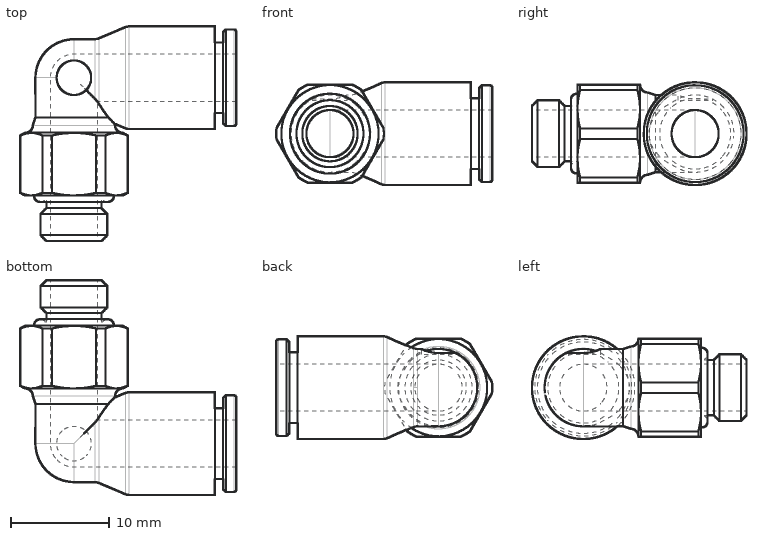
import cadquery as cq
import math


elbow_radius = 3.95
bore_radius = 2.4
recess_radius = 1.76
recess_floor_height = 3.37

flare_start = 2.15
flare_end = 5.62
flare_blend_radius = 1.0
flare_blend_length = 0.4
sleeve_radius = 5.25
sleeve_end = 14.38
collar_radius = 3.62
ring_start = 15.21
ring_end = 16.55
ring_radius = 4.95
ring_edge = 0.26

skirt_start = 4.05
skirt_blend_radius = 0.75
hex_start = 5.6
hex_end = 12.02
hex_across_flats = 10.0
hex_corner_radius = 5.5
hex_face_radius = 4.96
hex_chamfer_length = 0.29
neck_radius = 2.82
seal_radius = 4.08
seal_end = 12.68
neck_end = 13.3
thread_radius = 3.42
thread_chamfer = thread_radius - neck_radius
arm_end = 16.65


def make_push_in_arm():
    """Turned arm along +X: flared sleeve, collar and release ring."""
    low_corner = (flare_start + flare_blend_length / 2, elbow_radius)
    high_corner = (flare_end - flare_blend_length / 2, sleeve_radius)
    sleeve = (
        cq.Workplane("XY")
        .lineTo(0, elbow_radius)
        .lineTo(*low_corner)
        .lineTo(*high_corner)
        .lineTo(sleeve_end, sleeve_radius)
        .lineTo(sleeve_end, 0)
        .close()
        .revolve(360, (0, 0, 0), (1, 0, 0))
    )
    sleeve = sleeve.faces("%CONE").edges("%CIRCLE").fillet(flare_blend_radius)
    collar = (
        cq.Workplane("YZ")
        .workplane(offset=sleeve_end)
        .circle(collar_radius)
        .extrude(ring_start - sleeve_end)
    )
    ring = (
        cq.Workplane("YZ")
        .workplane(offset=ring_start)
        .circle(ring_radius)
        .extrude(ring_end - ring_start)
        .faces("<X").edges().chamfer(ring_edge)
        .faces(">X").edges().fillet(ring_edge)
    )
    return sleeve.union(collar).union(ring)


def make_shank():
    """Round parts of the threaded arm: body, flared skirt, neck and thread."""
    return (
        cq.Workplane("XY")
        .lineTo(elbow_radius, 0)
        .lineTo(elbow_radius, -skirt_start)
        .lineTo(hex_face_radius - skirt_blend_radius, -hex_start + skirt_blend_radius)
        .radiusArc((hex_face_radius, -hex_start), -skirt_blend_radius)
        .lineTo(neck_radius, -hex_start)
        .lineTo(neck_radius, -neck_end)
        .lineTo(thread_radius, -neck_end - thread_chamfer)
        .lineTo(thread_radius, -arm_end + thread_chamfer)
        .lineTo(neck_radius, -arm_end)
        .lineTo(0, -arm_end)
        .close()
        .revolve(360, (0, 0, 0), (0, 1, 0))
    )


def make_hex():
    """Hexagon with corners on X, turned down to a round with chamfered ends."""
    prism = (
        cq.Workplane("XZ")
        .workplane(offset=hex_start)
        .polygon(6, hex_across_flats / math.cos(math.pi / 6))
        .extrude(hex_end - hex_start)
    )
    turned_blank = (
        cq.Workplane("XY")
        .polyline([
            (0, -hex_start),
            (hex_face_radius, -hex_start),
            (hex_corner_radius, -hex_start - hex_chamfer_length),
            (hex_corner_radius, -hex_end + hex_chamfer_length),
            (hex_face_radius, -hex_end),
            (0, -hex_end),
        ])
        .close()
        .revolve(360, (0, 0, 0), (0, 1, 0))
    )
    return prism.intersect(turned_blank)


def make_seal():
    """O-ring around the neck, partly sunk in the end of the hexagon."""
    section_radius = (seal_radius - neck_radius) / 2
    ring_center_radius = neck_radius + section_radius
    return (
        cq.Workplane("XY")
        .center(ring_center_radius, -seal_end + section_radius)
        .circle(section_radius)
        .revolve(360, (-ring_center_radius, 0, 0), (-ring_center_radius, 1, 0))
    )


def make_passage():
    """Bores along both arms, joined by a ball at the corner."""
    along_x = cq.Workplane("YZ").circle(bore_radius).extrude(ring_end)
    along_y = cq.Workplane("XZ").circle(bore_radius).extrude(arm_end)
    return along_x.union(along_y).union(cq.Workplane("XY").sphere(bore_radius))


def make_recess():
    """Round flat sunk in the top of the elbow."""
    return (
        cq.Workplane("XY")
        .workplane(offset=recess_floor_height)
        .circle(recess_radius)
        .extrude(elbow_radius - recess_floor_height)
    )


result = (
    cq.Workplane("XY")
    .sphere(elbow_radius)
    .union(make_push_in_arm())
    .union(make_shank())
    .union(make_hex())
    .union(make_seal())
    .cut(make_passage())
    .cut(make_recess())
)